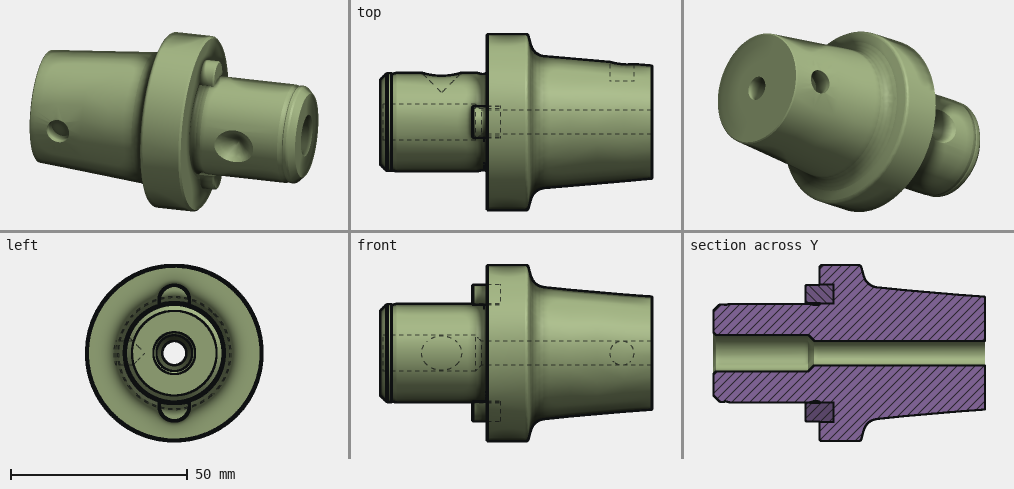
import cadquery as cq
import math

TOTAL_LENGTH = 77.0

SHANK_R = 28.0 / 2
LAND_R = 27.8 / 2
RELIEF_R = 27.3 / 2
END_CHAMFER = 1.7
LAND_START = 2.2
LAND_END = 3.1
FRONT_RELIEF_X = 3.4
SEAT_START = 4.7
SEAT_END = 27.3
REAR_RELIEF_START = 28.65
REAR_RELIEF_END = 29.4

FLANGE_R = 50.0 / 2
FLANGE_X = 30.0
FLANGE_CHAMFER = 0.55
FLANGE_CORNER_X = 41.8
FLANGE_BACK_ANGLE = 15.0
FLANGE_ROUND = 1.0
UNDERCUT_R = 15.6
UNDERCUT_ROOT_R = 14.3
UNDERCUT_DEPTH = 0.3

NOSE_END_R = 16.0
NOSE_ANGLE = 5.0
NOSE_ROOT_FILLET = 4.0
NOSE_CHAMFER = 0.3

BORE_R = 10.2 / 2
BORE_DEPTH = 26.95
BORE_CHAMFER = 0.85
THROUGH_R = 6.8 / 2

RECESS_X = 17.4
RECESS_MOUTH_R = 5.7

SCREW_HOLE_R = 6.8 / 2
SCREW_HOLE_X = 68.4
SCREW_HOLE_DEPTH = 5.4

KEY_R = 9.0 / 2
KEY_CENTER_Z = 14.85
KEY_TIP_X = 26.0
KEY_SEAT_DEPTH = 4.0
KEY_CHAMFER = 0.4
KEY_INNER_R = 14.1


def tan_deg(angle):
    return math.tan(math.radians(angle))


def nose_radius(x):
    """Radius of the nose cone at position x."""
    return NOSE_END_R + (TOTAL_LENGTH - x) * tan_deg(NOSE_ANGLE)


def x_cylinder(radius, start, end, z=0.0):
    """Round bar parallel to the X axis."""
    return cq.Workplane("YZ", origin=(start, 0, z)).circle(radius).extrude(end - start)


def round_edge_at(solid, x, radius):
    """Fillet the circular edge that is centred on the axis at position x."""
    margin = 0.01
    box = cq.selectors.BoxSelector((x - margin, -margin, -margin), (x + margin, margin, margin))
    return solid.edges(box).fillet(radius)


def turned_blank():
    back_slope = tan_deg(FLANGE_BACK_ANGLE)
    root_x = (FLANGE_CORNER_X + (FLANGE_R - nose_radius(0)) * back_slope) / (
        1 - tan_deg(NOSE_ANGLE) * back_slope
    )
    blank = (
        cq.Workplane("XY")
        .moveTo(0, 0)
        .lineTo(0, RELIEF_R - END_CHAMFER)
        .lineTo(END_CHAMFER, RELIEF_R)
        .lineTo(LAND_START, LAND_R)
        .lineTo(LAND_END, LAND_R)
        .lineTo(FRONT_RELIEF_X, RELIEF_R)
        .lineTo(SEAT_START, SHANK_R)
        .lineTo(SEAT_END, SHANK_R)
        .lineTo(REAR_RELIEF_START, RELIEF_R)
        .lineTo(REAR_RELIEF_END, RELIEF_R)
        .tangentArcPoint((FLANGE_X + UNDERCUT_DEPTH, UNDERCUT_ROOT_R), relative=False)
        .lineTo(FLANGE_X, UNDERCUT_R)
        .lineTo(FLANGE_X, FLANGE_R - FLANGE_CHAMFER)
        .lineTo(FLANGE_X + FLANGE_CHAMFER, FLANGE_R)
        .lineTo(FLANGE_CORNER_X, FLANGE_R)
        .lineTo(root_x, nose_radius(root_x))
        .lineTo(TOTAL_LENGTH - NOSE_CHAMFER, nose_radius(TOTAL_LENGTH - NOSE_CHAMFER))
        .lineTo(TOTAL_LENGTH, NOSE_END_R - NOSE_CHAMFER)
        .lineTo(TOTAL_LENGTH, 0)
        .close()
        .revolve(360, (0, 0, 0), (1, 0, 0))
    )
    blank = round_edge_at(blank, root_x, NOSE_ROOT_FILLET)
    return round_edge_at(blank, FLANGE_CORNER_X, FLANGE_ROUND)


def axial_bore():
    return (
        cq.Workplane("XY")
        .moveTo(0, 0)
        .lineTo(0, BORE_R + BORE_CHAMFER)
        .lineTo(BORE_CHAMFER, BORE_R)
        .lineTo(BORE_DEPTH, BORE_R)
        .lineTo(BORE_DEPTH + BORE_R - THROUGH_R, THROUGH_R)
        .lineTo(TOTAL_LENGTH, THROUGH_R)
        .lineTo(TOTAL_LENGTH, 0)
        .close()
        .revolve(360, (0, 0, 0), (1, 0, 0))
    )


def shank_recess():
    cone = cq.Solid.makeCone(
        RECESS_MOUTH_R, 0, RECESS_MOUTH_R, pnt=(RECESS_X, SHANK_R, 0), dir=(0, -1, 0)
    )
    return cq.Workplane(obj=cone)


def nose_screw_hole():
    mouth_y = nose_radius(SCREW_HOLE_X - SCREW_HOLE_R)
    hole = cq.Solid.makeCylinder(
        SCREW_HOLE_R, SCREW_HOLE_DEPTH, pnt=(SCREW_HOLE_X, mouth_y, 0), dir=(0, -1, 0)
    )
    return cq.Workplane(obj=hole)


def make_key(angle):
    """Drive key turned about the X axis by an angle in degrees; 0 puts it above the shank."""
    seat_x = FLANGE_X + KEY_SEAT_DEPTH
    key = x_cylinder(KEY_R, KEY_TIP_X, seat_x, KEY_CENTER_Z)
    key = key.cut(x_cylinder(KEY_INNER_R, KEY_TIP_X, seat_x))
    key = key.edges("<X or (<Z and |X)").chamfer(KEY_CHAMFER)
    return key.rotate((0, 0, 0), (1, 0, 0), angle)


def make_body(keys):
    body = turned_blank().cut(axial_bore()).cut(shank_recess()).cut(nose_screw_hole())
    for key in keys:
        body = body.cut(key)
    return body


drive_keys = [make_key(angle) for angle in (0, 180)]
body = make_body(drive_keys)

result = cq.Compound.makeCompound([body.val(), *[key.val() for key in drive_keys]])